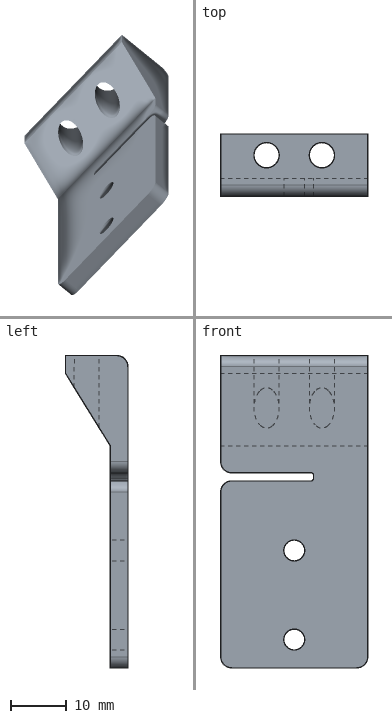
import cadquery as cq

width = 26.4
depth = 11.2
height = 56.0

plate_thickness = 3.2
head_lip_height = 3.25
head_height = 16.2
corner_radius = 2.0

slot_length = 16.65
slot_bottom = 33.55
slot_height = 1.4
slot_end_radius = 0.4

plate_hole_diameter = 3.7
plate_hole_heights = (5.1, 21.05)

head_hole_diameter = 4.5
head_hole_spacing = 9.9
head_hole_y = 7.4


def make_body():
    """Extrude the side profile: a thin plate with a wedge-shaped head behind its top."""
    profile = (
        cq.Workplane("YZ")
        .polyline([
            (0, 0),
            (plate_thickness, 0),
            (plate_thickness, height - head_height),
            (depth, height - head_lip_height),
            (depth, height),
            (0, height),
        ])
        .close()
    )
    body = profile.extrude(width)
    body = body.edges("|X and >Z and <Y").fillet(corner_radius)
    return body.edges("|Y and <Z").fillet(corner_radius)


def cut_slot(body):
    """Cut the slot with a rounded closed end, and round both corners of its open end."""
    slot = cq.Workplane("XY").box(slot_length, depth, slot_height, centered=False)
    slot = slot.edges("|Y and >X").fillet(slot_end_radius)
    body = body.cut(slot.translate((0, 0, slot_bottom)))
    mouth = cq.selectors.BoxSelector(
        (-corner_radius, -depth, slot_bottom - slot_height),
        (corner_radius, depth, slot_bottom + 2 * slot_height),
    )
    return body.edges("|Y").edges(mouth).fillet(corner_radius)


def cut_plate_holes(body):
    centers = [(width / 2, z) for z in plate_hole_heights]
    holes = (
        cq.Workplane("XZ")
        .pushPoints(centers)
        .circle(plate_hole_diameter / 2)
        .extrude(-depth)
    )
    return body.cut(holes)


def cut_head_holes(body):
    centers = [(width / 2 + side * head_hole_spacing / 2, head_hole_y) for side in (-1, 1)]
    holes = (
        cq.Workplane("XY")
        .pushPoints(centers)
        .circle(head_hole_diameter / 2)
        .extrude(height)
    )
    return body.cut(holes)


result = make_body()
result = cut_slot(result)
result = cut_plate_holes(result)
result = cut_head_holes(result)